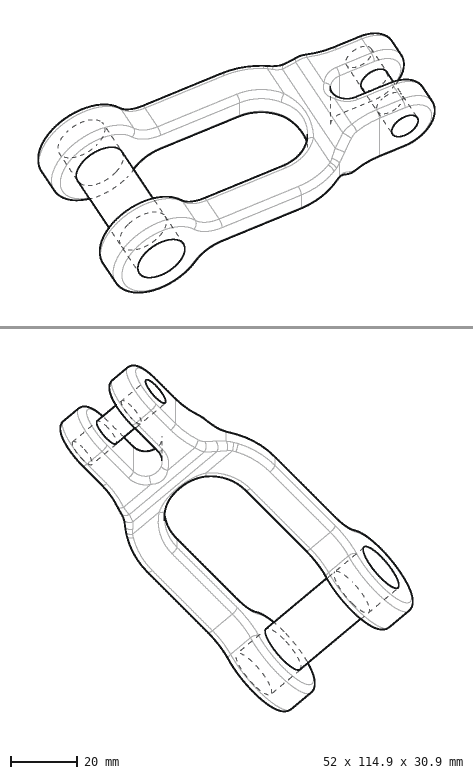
import cadquery as cq
import math


length = 114.9
width = 52.0
eye_diameter = 30.9
small_fork_height = 22.0
small_fork_width = 30.0
arm_thickness = 10.0
window_width = 27.9
slot_width = 10.0
load_pin_diameter = 16.0
coupling_pin_diameter = 9.0

window_center_y = 47.5
slot_center_y = 76.7
ramp_low_y = 62.2
ramp_high_y = 68.6
neck_radius = 27.0
eye_blend_radius = 10.0
edge_round = 2.0

shoulder_radius = width / 2
eye_radius = eye_diameter / 2
tip_radius = small_fork_height / 2
tip_y = length - eye_radius
coupling_pin_y = tip_y - tip_radius
ramp_radius = arm_thickness / 2


def point_on_circle(center, radius, angle):
    """Point at an angle, in radians, on a circle."""
    return (center[0] + radius * math.cos(angle), center[1] + radius * math.sin(angle))


def make_side_profile():
    """Body as seen along X: eye, thin arm, ramps and rounded tip, across the full width."""
    arm_z = arm_thickness / 2
    fork_z = small_fork_height / 2
    blend_z = arm_z + eye_blend_radius
    blend_y = math.sqrt((eye_radius + eye_blend_radius) ** 2 - blend_z ** 2)
    eye_angle = math.atan2(blend_z, blend_y)
    touch_y, touch_z = point_on_circle((0, 0), eye_radius, eye_angle)
    blend_angle = (eye_angle + 2.5 * math.pi) / 2
    blend_mid = point_on_circle((blend_y, blend_z), eye_blend_radius, blend_angle)
    profile = (
        cq.Workplane("YZ", origin=(-width / 2, 0, 0))
        .moveTo(touch_y, touch_z)
        .threePointArc(blend_mid, (blend_y, arm_z))
        .lineTo(ramp_low_y, arm_z)
        .lineTo(ramp_high_y, fork_z)
        .lineTo(coupling_pin_y, fork_z)
        .threePointArc((tip_y, 0), (coupling_pin_y, -fork_z))
        .lineTo(ramp_high_y, -fork_z)
        .lineTo(ramp_low_y, -arm_z)
        .lineTo(blend_y, -arm_z)
        .threePointArc((blend_mid[0], -blend_mid[1]), (touch_y, -touch_z))
        .threePointArc((-eye_radius, 0), (touch_y, touch_z))
        .close()
        .extrude(width)
    )
    ramp_corners = cq.selectors.BoxSelector(
        (-width, ramp_low_y - ramp_radius, -width), (width, ramp_high_y + ramp_radius, width)
    )
    return profile.edges("|X").edges(ramp_corners).fillet(ramp_radius)


def make_plan_outline():
    """Body as seen along Z: straight arms, round shoulders, concave neck and small fork."""
    fork_x = small_fork_width / 2
    neck_x = fork_x + neck_radius
    neck_rise = math.sqrt((shoulder_radius + neck_radius) ** 2 - neck_x ** 2)
    neck_y = window_center_y + neck_rise
    touch_angle = math.atan2(neck_rise, neck_x)
    shoulder_center = (0, window_center_y)
    touch_x, touch_y = point_on_circle(shoulder_center, shoulder_radius, touch_angle)
    shoulder_x, shoulder_y = point_on_circle(shoulder_center, shoulder_radius, touch_angle / 2)
    mid_x, mid_y = point_on_circle((neck_x, neck_y), neck_radius, math.pi + touch_angle / 2)
    return (
        cq.Workplane("XY", origin=(0, 0, -eye_radius))
        .moveTo(width / 2, -eye_radius)
        .lineTo(width / 2, window_center_y)
        .threePointArc((shoulder_x, shoulder_y), (touch_x, touch_y))
        .threePointArc((mid_x, mid_y), (fork_x, neck_y))
        .lineTo(fork_x, tip_y)
        .lineTo(-fork_x, tip_y)
        .lineTo(-fork_x, neck_y)
        .threePointArc((-mid_x, mid_y), (-touch_x, touch_y))
        .threePointArc((-shoulder_x, shoulder_y), (-width / 2, window_center_y))
        .lineTo(-width / 2, -eye_radius)
        .close()
        .extrude(eye_diameter)
    )


def make_round_ended_cutter(cutter_width, round_center_y, open_end_y):
    """Full-height cutter with one round end, open at the other end."""
    half_width = cutter_width / 2
    round_end_y = round_center_y + math.copysign(half_width, round_center_y - open_end_y)
    return (
        cq.Workplane("XY", origin=(0, 0, -eye_radius))
        .moveTo(half_width, open_end_y)
        .lineTo(half_width, round_center_y)
        .threePointArc((0, round_end_y), (-half_width, round_center_y))
        .lineTo(-half_width, open_end_y)
        .close()
        .extrude(eye_diameter)
    )


def make_pin(diameter, pin_length, center_y):
    """Plain round pin along X, centered on X = 0."""
    return (
        cq.Workplane("YZ", origin=(-pin_length / 2, center_y, 0))
        .circle(diameter / 2)
        .extrude(pin_length)
    )


def make_link(pins):
    """Double fork with rounded edges and a matching hole for each pin."""
    link = make_side_profile().intersect(make_plan_outline())
    link = link.cut(make_round_ended_cutter(window_width, window_center_y, -eye_radius))
    link = link.cut(make_round_ended_cutter(slot_width, slot_center_y, tip_y))
    link = link.edges("not (|X or |Z)").fillet(edge_round)
    for pin in pins:
        link = link.cut(pin)
    return link


load_pin = make_pin(load_pin_diameter, width, 0)
coupling_pin = make_pin(coupling_pin_diameter, small_fork_width, coupling_pin_y)
link = make_link([load_pin, coupling_pin])

result = cq.Compound.makeCompound([link.val(), load_pin.val(), coupling_pin.val()])